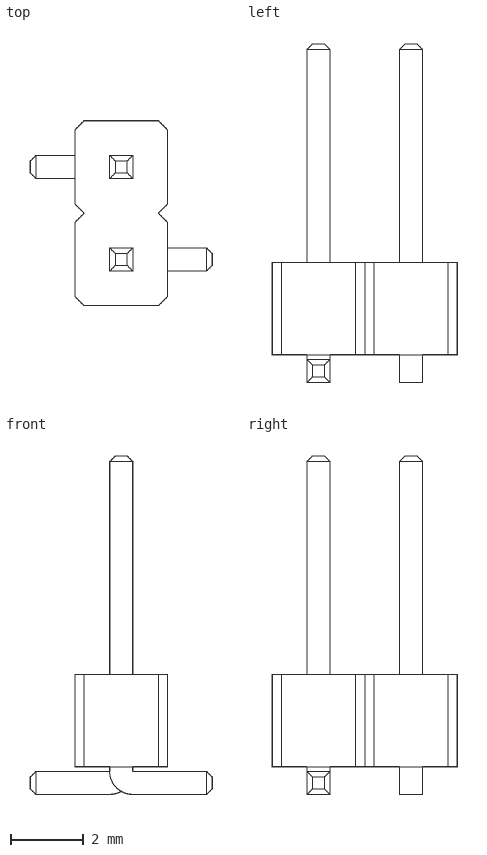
import cadquery as cq

PITCH = 2.54
PIN_COUNT = 2
BODY_HEIGHT = 2.54
BODY_CHAMFER = 0.25
PIN_SIZE = 0.64
TIP_CHAMFER = PIN_SIZE / 4
LEG_SPAN = 5.0
TOTAL_HEIGHT = 9.3
PIN_ABOVE_BODY = 6.0

BODY_TOP = TOTAL_HEIGHT - PIN_ABOVE_BODY
BODY_BOTTOM = BODY_TOP - BODY_HEIGHT
HALF_PIN = PIN_SIZE / 2
LEG_REACH = LEG_SPAN / 2


def housing_cell(y_center):
    """Square housing block with chamfered vertical edges for one pin."""
    return (
        cq.Workplane("XY", origin=(0, y_center, BODY_BOTTOM))
        .rect(PITCH, PITCH)
        .extrude(BODY_HEIGHT)
        .edges("|Z")
        .chamfer(BODY_CHAMFER)
    )


def bent_pin(y_center, side):
    """Square pin whose leg leaves along X toward side (+1 or -1), rounded at its outer bend."""
    bend_x = side * HALF_PIN
    bend_z = PIN_SIZE
    diagonal = PIN_SIZE * 0.5 ** 0.5
    leg_end = side * LEG_REACH
    profile = (
        cq.Workplane("XZ", origin=(0, y_center, 0))
        .moveTo(bend_x, bend_z)
        .lineTo(bend_x, TOTAL_HEIGHT)
        .lineTo(-bend_x, TOTAL_HEIGHT)
        .lineTo(-bend_x, bend_z)
        .threePointArc((bend_x - side * diagonal, bend_z - diagonal), (bend_x, 0))
        .lineTo(leg_end, 0)
        .lineTo(leg_end, PIN_SIZE)
        .close()
    )
    pin = profile.extrude(HALF_PIN, both=True)
    leg_end_face = ">X" if side > 0 else "<X"
    return pin.faces(">Z").chamfer(TIP_CHAMFER).faces(leg_end_face).chamfer(TIP_CHAMFER)


def build_header():
    """Row of housing cells along Y with pins alternating between +X and -X legs."""
    header = cq.Workplane("XY")
    first_y = -PITCH * (PIN_COUNT - 1) / 2
    for index in range(PIN_COUNT):
        y_center = first_y + index * PITCH
        side = 1 if index % 2 == 0 else -1
        header = header.union(housing_cell(y_center)).union(bent_pin(y_center, side))
    return header.clean()


result = build_header()